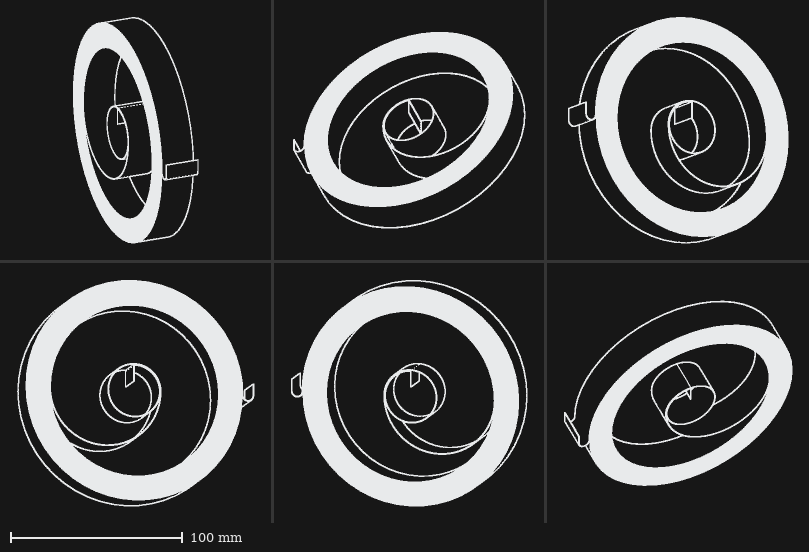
import cadquery as cq
import math


overall_length = 136.5
ring_height = 129.8
strip_width = 20.0

strip_thickness = 0.49
winding_pitch = 0.5
ring_half_turns = 57
hub_half_turns = 2
half_pitch = winding_pitch / 2

ring_radius = (ring_height - strip_thickness + half_pitch) / 2
hub_radius = 15.7
hook_radius = (overall_length - strip_thickness) / 2 - ring_radius

hook_tip_z = 7.0
tab_tip_z = 5.6


def arc(center_x, radius, start_deg, sweep_deg):
    """One centreline bend about (center_x, 0); a positive sweep turns from +X towards +Z."""
    return center_x, radius, start_deg, sweep_deg


def half_turns(start_x, radius, count):
    """Half circles winding inwards from (start_x, 0) on the +X side, and the final x."""
    bends = []
    x = start_x
    for index in range(count):
        side = 1 if index % 2 == 0 else -1
        turn_radius = radius - index * half_pitch
        start_deg = 0 if side == 1 else 180
        bends.append(arc(x - side * turn_radius, turn_radius, start_deg, 180))
        x -= side * 2 * turn_radius
    return bends, x


def strip_bends():
    """All bends of the strip from hook to tab, and the x where the last one ends."""
    hook = arc(ring_radius + hook_radius, hook_radius, 0, -180)

    ring, ring_end_x = half_turns(ring_radius, ring_radius, ring_half_turns)

    bridge_radius = (hub_radius - ring_end_x) / 2
    bridge = arc(ring_end_x + bridge_radius, bridge_radius, 180, 180)

    hub, hub_end_x = half_turns(hub_radius, hub_radius, hub_half_turns)
    last_radius = hub_radius - winding_pitch
    last_center_x = hub_end_x - last_radius
    last_quarter = arc(last_center_x, last_radius, 0, 90)

    return [hook] + ring + [bridge] + hub + [last_quarter], last_center_x


def bend_point(bend, offset, fraction):
    """Point part-way along a bend, moved sideways; positive is the ring's outer side."""
    center_x, radius, start_deg, sweep_deg = bend
    face_radius = radius + math.copysign(1, sweep_deg) * offset
    angle = math.radians(start_deg + fraction * sweep_deg)
    return center_x + face_radius * math.cos(angle), face_radius * math.sin(angle)


def strip_profile():
    bends, tab_face_x = strip_bends()
    half_thickness = strip_thickness / 2
    hook_tip_x = ring_radius + 2 * hook_radius
    tab_top_z = bend_point(bends[-1], half_thickness, 1)[1]
    tab_far_x = tab_face_x - strip_thickness

    profile = cq.Workplane("XZ").moveTo(hook_tip_x - half_thickness, hook_tip_z)
    profile = profile.lineTo(*bend_point(bends[0], half_thickness, 0))
    for bend in bends:
        middle = bend_point(bend, half_thickness, 0.5)
        profile = profile.threePointArc(middle, bend_point(bend, half_thickness, 1))

    profile = profile.lineTo(tab_far_x, tab_top_z)
    profile = profile.lineTo(tab_far_x, tab_tip_z)
    profile = profile.lineTo(tab_face_x, tab_tip_z)
    profile = profile.lineTo(*bend_point(bends[-1], -half_thickness, 1))

    for bend in reversed(bends):
        middle = bend_point(bend, -half_thickness, 0.5)
        profile = profile.threePointArc(middle, bend_point(bend, -half_thickness, 0))
    profile = profile.lineTo(hook_tip_x + half_thickness, hook_tip_z)
    return profile.close()


result = strip_profile().extrude(strip_width / 2, both=True)